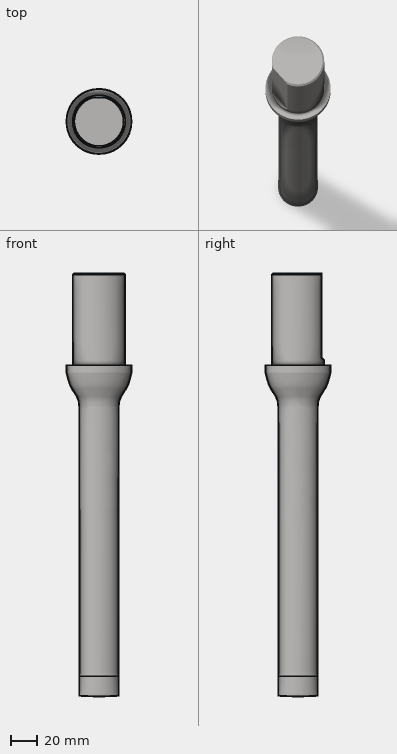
import cadquery as cq

total_length = 322.0

head_radius = 30.3 / 2
head_top = 15.5
tip_height = 0.5
rim_fillet = 1.0

neck_radius = 30.0 / 2
neck_root_radius = head_radius
front_taper_top = 18.5
neck_taper_start = 133.0
neck_taper_end = 215.7
flare_start = 220.5

collar_radius = 49.5 / 2
collar_bottom = 246.3
collar_top = 252.0
flare_lower_point = (16.7, 228.0)
flare_upper_point = (21.0, 234.7)
flare_top_direction = (0.25, 1)

shank_radius = 40.0 / 2
shank_chamfer = 1.3
flat_distance = 18.0
flat_ramp_start = 255.5


def make_cutting_head():
    """Short cylinder with a very shallow conical tip and a rounded rim."""
    blank = (
        cq.Workplane("XZ")
        .moveTo(0, 0)
        .lineTo(head_radius, tip_height)
        .lineTo(head_radius, head_top)
        .lineTo(0, head_top)
        .close()
        .revolve(360, (0, 0), (0, 1))
    )
    rim = blank.edges("%CIRCLE").edges("<Z")
    return rim.fillet(rim_fillet)


def make_holder_blank():
    """Turned neck, flare, collar and shank, before the flat is cut."""
    return (
        cq.Workplane("XZ")
        .moveTo(0, head_top)
        .lineTo(head_radius, head_top)
        .lineTo(neck_radius, front_taper_top)
        .lineTo(neck_radius, neck_taper_start)
        .lineTo(neck_root_radius, neck_taper_end)
        .lineTo(neck_root_radius, flare_start)
        .spline(
            [flare_lower_point, flare_upper_point, (collar_radius, collar_bottom)],
            tangents=[(0, 1), flare_top_direction],
            includeCurrent=True,
        )
        .lineTo(collar_radius, collar_top)
        .lineTo(shank_radius, collar_top)
        .lineTo(shank_radius, total_length - shank_chamfer)
        .lineTo(shank_radius - shank_chamfer, total_length)
        .lineTo(0, total_length)
        .close()
        .revolve(360, (0, 0), (0, 1))
    )


def make_flat_cutter():
    """Material beyond the flat, bounded below by a 45 degree ramp."""
    flat_depth = shank_radius - flat_distance
    return (
        cq.Workplane("YZ")
        .moveTo(shank_radius, flat_ramp_start)
        .lineTo(flat_distance, flat_ramp_start + flat_depth)
        .lineTo(flat_distance, total_length)
        .lineTo(shank_radius, total_length)
        .close()
        .extrude(shank_radius, both=True)
    )


cutting_head = make_cutting_head()
holder = make_holder_blank().cut(make_flat_cutter())

result = cq.Compound.makeCompound([cutting_head.val(), *holder.solids().vals()])